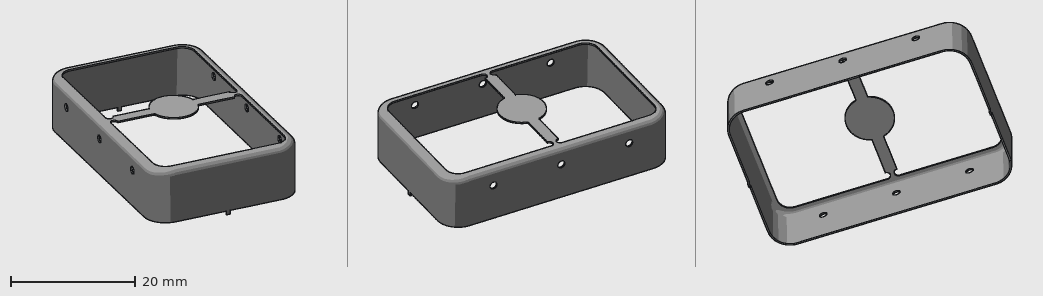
import cadquery as cq

length = 41.5
width = 26.5
overall_height = 10.1
sheet = 0.3
corner_radius = 3.8
top_bend_radius = 1.1
rim_width = 1.58

tab_height = 0.65
tab_width = 0.65
body_height = overall_height - tab_height

strap_width = 2.0
disc_diameter = 8.0
relief_diameter = 1.3

hole_diameter = 1.3
hole_spacing = 12.5
hole_drop = 3.05


def rounded_block(inset, height, base=0):
    """Block that follows the outer outline, moved inward by inset."""
    return (
        cq.Workplane("XY", origin=(0, 0, base))
        .rect(length - 2 * inset, width - 2 * inset)
        .extrude(height)
        .edges("|Z")
        .fillet(corner_radius - inset)
    )


def make_shell():
    """Bent sheet wall with an inward rim and an open middle."""
    outside = rounded_block(0, body_height).faces(">Z").edges().fillet(top_bend_radius)
    inside = rounded_block(sheet, body_height - sheet)
    inside = inside.faces(">Z").edges().fillet(top_bend_radius - sheet)
    opening = rounded_block(rim_width, body_height)
    return outside.cut(inside).cut(opening)


def make_strap():
    """Flat strap joining the long rims, necked by round reliefs at each end."""
    plane = cq.Workplane("XY", origin=(0, 0, body_height - sheet))
    strap_length = width - 2 * top_bend_radius
    strap = plane.rect(strap_width, strap_length).extrude(sheet)
    disc = plane.circle(disc_diameter / 2).extrude(sheet)
    relief_y = width / 2 - rim_width - relief_diameter / 2
    reliefs = (
        plane.rect(strap_width, 2 * relief_y, forConstruction=True)
        .vertices()
        .circle(relief_diameter / 2)
        .extrude(sheet)
    )
    return strap.union(disc).cut(reliefs)


def make_tabs():
    """One tab under the middle of each end wall, overlapping it by the tab height."""
    return (
        cq.Workplane("XY", origin=(0, 0, -tab_height))
        .pushPoints([(side * (length - sheet) / 2, 0) for side in (-1, 1)])
        .rect(sheet, tab_width)
        .extrude(2 * tab_height)
    )


def make_wall_holes():
    """Row of three cutters running through both long walls."""
    return (
        cq.Workplane("XZ", origin=(0, 0, body_height - hole_drop))
        .pushPoints([(step * hole_spacing, 0) for step in (-1, 0, 1)])
        .circle(hole_diameter / 2)
        .extrude(width, both=True)
    )


result = make_shell().union(make_strap()).union(make_tabs()).cut(make_wall_holes())